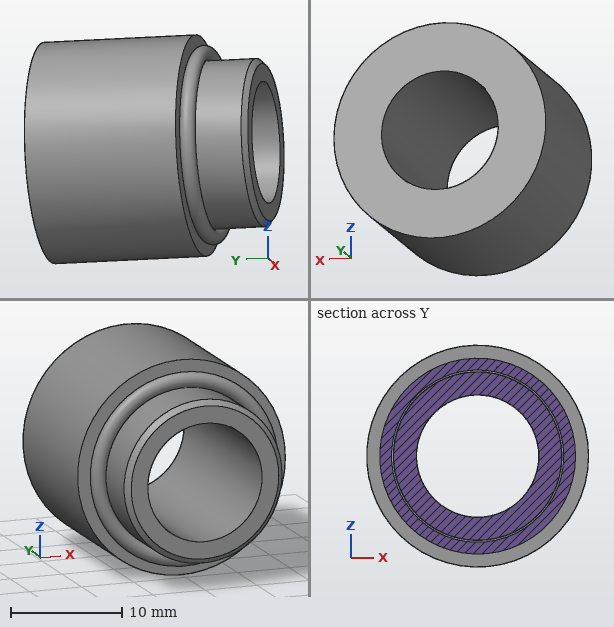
import cadquery as cq

total_length = 20.0
body_diameter = 20.0
body_length = 14.0
spigot_diameter = 15.2
bore_diameter = 11.0
chamfer_size = 0.5
ring_outer_diameter = 18.0
ring_section_diameter = 1.42
ring_seat_overlap = 0.01

shoulder_y = total_length - body_length
ring_section_radius = ring_section_diameter / 2
ring_center_radius = ring_outer_diameter / 2 - ring_section_radius
ring_center_y = shoulder_y - ring_section_radius + ring_seat_overlap


def turned_sleeve():
    """Body and chamfered spigot with a through bore, as one revolved half section."""
    bore_radius = bore_diameter / 2
    spigot_radius = spigot_diameter / 2
    body_radius = body_diameter / 2
    half_section = [
        (bore_radius, 0),
        (spigot_radius - chamfer_size, 0),
        (spigot_radius, chamfer_size),
        (spigot_radius, shoulder_y),
        (body_radius, shoulder_y),
        (body_radius, total_length),
        (bore_radius, total_length),
    ]
    return cq.Workplane("XY").polyline(half_section).close().revolve(360, (0, 0), (0, 1))


def sealing_ring():
    """Round-section ring around the spigot, resting against the body shoulder."""
    section = cq.Workplane("XY").center(ring_center_radius, ring_center_y).circle(ring_section_radius)
    return section.revolve(360, (-ring_center_radius, 0), (-ring_center_radius, 1))


result = turned_sleeve().union(sealing_ring())